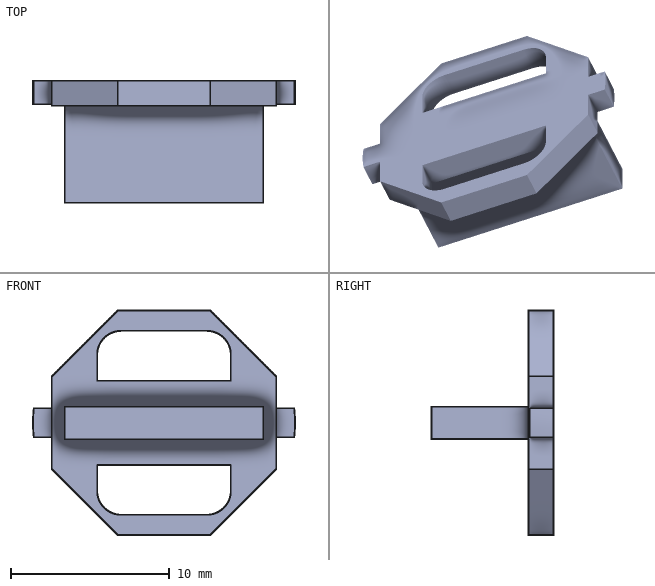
import cadquery as cq

plate_width = 14.14
plate_flat = 5.83
plate_thickness = 1.59

tab_span = 16.51
tab_height = 1.84
tab_thickness = 1.49

blade_width = 12.5
blade_height = 2.04
blade_length = 6.1

window_width = 8.4
window_height = 3.12
window_inner_edge = 2.66
window_radius = 1.5


def front_box(width, depth, height, front_y):
    """Box centred on X and Z that runs from front_y toward +Y."""
    return cq.Workplane("XY").box(width, depth, height).translate((0, front_y + depth / 2, 0))


def make_plate():
    corner_cut = (plate_width - plate_flat) / 2
    return (
        front_box(plate_width, plate_thickness, plate_width, 0)
        .edges("|Y")
        .chamfer(corner_cut)
    )


def make_tabs():
    """One bar through the plate, with ends trimmed to a circle, flush with the back face."""
    bar = front_box(tab_span, tab_thickness, tab_height, plate_thickness - tab_thickness)
    end_circle = cq.Workplane("XZ").circle(tab_span / 2).extrude(-plate_thickness)
    return bar.intersect(end_circle)


def make_blade():
    return front_box(blade_width, blade_length, blade_height, -blade_length)


def make_window(side):
    """Window cutter above (side = 1) or below (side = -1) the blade."""
    outer_edges = ">Z" if side > 0 else "<Z"
    centre_z = side * (window_inner_edge + window_height / 2)
    return (
        front_box(window_width, plate_thickness, window_height, 0)
        .faces(outer_edges)
        .edges("|Y")
        .fillet(window_radius)
        .translate((0, 0, centre_z))
    )


result = make_plate().union(make_tabs()).union(make_blade())
for side in (1, -1):
    result = result.cut(make_window(side))